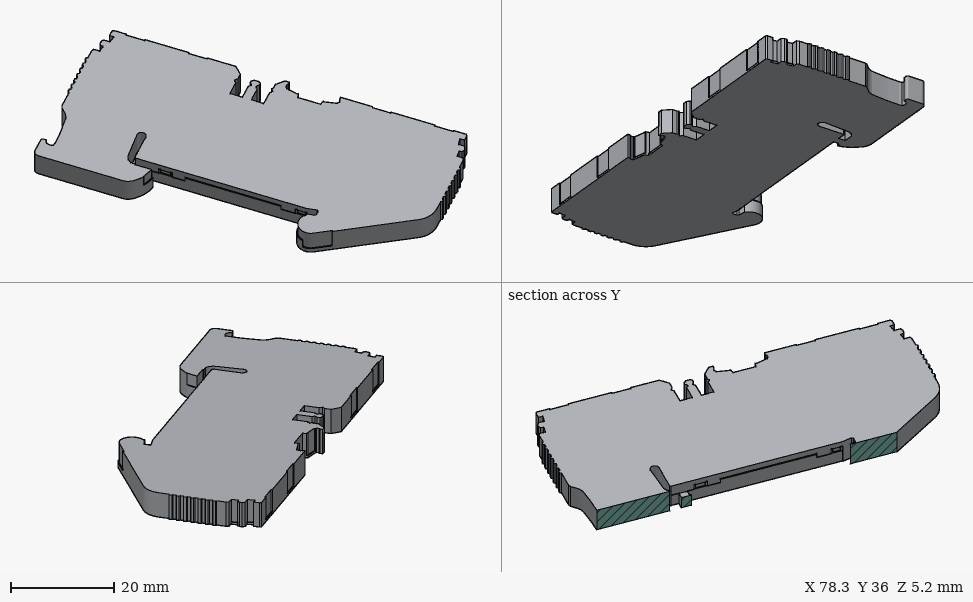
import cadquery as cq
import math

LENGTH = 78.35
HEIGHT = 36.05
THICKNESS = 5.2

LIP = 0.5
SPLIT = 2.75
STEP = 0.2
SEAM_DEPTH = 0.12
NOTCH_LEVEL = 1.0

WALL_X = 0.5
RIB_HEIGHT = 0.3
WALL_RIGHT_X = LENGTH - RIB_HEIGHT
MID_X = (WALL_X + WALL_RIGHT_X) / 2
RIB_COUNT = 7
RIB_PITCH = 1.5
RIB_TOP_Y = 27.1
RIB_ROOT = 0.9
RIB_TIP = 0.55

BASE_Y = 6.4
SLOT_WALL_X = 18.65
FOOT_TIP = (23.1, 5.0)
FOOT_FLANK_MID = (22.4, 2.9)
FOOT_FLANK_END = (21.2, 1.3)
FOOT_ARC_MID = (20.3, 0.5)
FOOT_ARC_END = (19.05, 0.0)
TOE_RADIUS = 1.1
HOOK_X = 56.8
HOOK_Y = 3.0
HOOK_RADIUS = 2.75
HOOK_NECK_X = 56.9
RAMP_ANGLE = 32.3
HOOK_SIDE_ANGLE = 200
HOOK_TOP_ANGLE = 130
SHOULDER_RADIUS = 4.7

LATCH_FLOORS = ([(1.7, 30.0), (1.9, 31.4)], [(2.7, 33.0), (2.9, 34.5)])

SHOULDER_X = 2.4
BRIDGE_FLOOR_Y = 29.0
NICK_Y = 32.6
NICK_HALF = 0.55
NICK_DEPTH = 0.5
MARKER_X = 44.5
MARKER_FLOOR_Y = 33.15
MARKER_FLOOR_HALF = 2.4
MARKER_FLANK = [(39.2, 34.55), (41.9, 33.9)]
TOP_RECESS_WIDTH = 3.85
TOP_RECESS_OFFSETS = (19.2, 32.2)


def mirrored(points, axis):
    """Mirror points about a vertical line and reverse their order."""
    return [(2 * axis - x, y) for x, y in reversed(points)]


def hook_point(radius, degrees):
    angle = math.radians(degrees)
    return (HOOK_X + radius * math.cos(angle), HOOK_Y + radius * math.sin(angle))


def ramp_y(x, setback=0.0):
    """Height of the ramp, tangent to the hook, optionally set back inward."""
    slope = math.radians(RAMP_ANGLE)
    return HOOK_Y + (x - HOOK_X) * math.tan(slope) - (HOOK_RADIUS - setback) / math.cos(slope)


def wall_ribs():
    """Points of the left wall with its ribs, from bottom to top."""
    points = []
    for i in reversed(range(RIB_COUNT)):
        y = RIB_TOP_Y - i * RIB_PITCH
        points += [
            (WALL_X, y - RIB_ROOT / 2),
            (WALL_X - RIB_HEIGHT, y - RIB_TIP / 2),
            (WALL_X - RIB_HEIGHT, y + RIB_TIP / 2),
            (WALL_X, y + RIB_ROOT / 2),
        ]
    return points


def corner_notches():
    """Two latch notches at the upper left corner, from the wall to the top edge."""
    lower, upper = LATCH_FLOORS
    tooth = [(1.5, 31.5), (1.25, 31.9), (1.25, 32.45), (1.6, 33.0)]
    shoulder = [(2.2, 34.5), (2.2, 35.7), (SHOULDER_X, HEIGHT)]
    return [(WALL_X, 29.5), (0.7, 30.0), *lower, *tooth, *upper, *shoulder]


def nick(x, side):
    """Small triangular detent nick in a vertical slot wall, from bottom to top."""
    return [
        (x, NICK_Y - NICK_HALF),
        (x + side * NICK_DEPTH, NICK_Y),
        (x, NICK_Y + NICK_HALF),
    ]


def bridge_slots():
    """Two deep slots with a detent tongue between them, from left to right."""
    left, tongue_left, tongue_right, right = 29.55, 32.1, 34.0, 36.6
    points = [(28.0, HEIGHT), (left, 34.5)]
    points += nick(left, -1)[::-1]
    points += [(left, BRIDGE_FLOOR_Y), (tongue_left, BRIDGE_FLOOR_Y)]
    points += nick(tongue_left, 1)
    points += [(tongue_left, 33.5), (32.7, 34.0), (33.6, 34.0), (tongue_right, 33.7)]
    points += nick(tongue_right, -1)[::-1]
    points += [(tongue_right, BRIDGE_FLOOR_Y), (right, BRIDGE_FLOOR_Y)]
    points += nick(right, 1)
    return points + [(36.8, 33.4), (36.8, 34.5), (38.25, HEIGHT)]


def marker_seat():
    """Undercut seat for a marker, symmetric about MARKER_X."""
    left_half = [
        (39.2, HEIGHT), (39.2, 35.5), (38.95, 35.2), (38.95, 34.7), *MARKER_FLANK,
        (MARKER_X - MARKER_FLOOR_HALF, MARKER_FLOOR_Y),
    ]
    return left_half + mirrored(left_half, MARKER_X)


def housing():
    """Full-thickness housing with the spring foot on the left and the hook on the right."""
    left_side = wall_ribs() + corner_notches()
    ramp_corner_y = ramp_y(WALL_RIGHT_X)
    slope = math.radians(RAMP_ANGLE)
    tangent = SHOULDER_RADIUS * math.tan((math.pi / 2 - slope) / 2)
    shoulder_end = (
        WALL_RIGHT_X - tangent * math.cos(slope),
        ramp_corner_y - tangent * math.sin(slope),
    )

    path = cq.Workplane("XY").moveTo(TOE_RADIUS, 0)
    path = path.radiusArc((0, TOE_RADIUS), TOE_RADIUS).lineTo(0, 4.1)
    path = path.radiusArc((0.4, 4.5), 0.4).lineTo(1.0, 4.5)
    path = path.threePointArc((1.9, 3.5), (2.8, 3.8)).lineTo(2.9, 4.3).lineTo(2.8, 7.1)
    path = path.threePointArc((2.75, 8.0), (2.7, 8.8)).lineTo(2.4, 11.0)
    path = path.threePointArc((2.2, 11.7), (1.8, 12.3)).lineTo(0.7, 13.4).lineTo(WALL_X, 13.95)
    for point in left_side + bridge_slots() + marker_seat() + mirrored(left_side, MID_X):
        path = path.lineTo(*point)
    path = path.lineTo(WALL_RIGHT_X, ramp_corner_y + tangent)
    path = path.tangentArcPoint(shoulder_end, relative=False)
    path = path.lineTo(*hook_point(HOOK_RADIUS, RAMP_ANGLE - 90))
    hook_side = hook_point(HOOK_RADIUS, HOOK_SIDE_ANGLE)
    path = path.threePointArc(hook_side, hook_point(HOOK_RADIUS, HOOK_TOP_ANGLE))
    path = path.lineTo(56.6, 5.3).lineTo(HOOK_NECK_X, 5.6).lineTo(HOOK_NECK_X, 6.65)
    path = path.lineTo(56.6, 6.8).lineTo(54.6, BASE_Y).lineTo(SLOT_WALL_X + STEP, BASE_Y)
    path = path.lineTo(SLOT_WALL_X, BASE_Y + STEP).lineTo(SLOT_WALL_X, 12.4)
    path = path.threePointArc((17.7, 13.2), (16.85, 12.2)).lineTo(17.25, 7.0)
    path = path.threePointArc((17.55, 5.8), (18.4, 5.0)).lineTo(*FOOT_TIP)
    path = path.threePointArc(FOOT_FLANK_MID, FOOT_FLANK_END)
    path = path.threePointArc(FOOT_ARC_MID, FOOT_ARC_END)
    return path.close().extrude(THICKNESS)


def box(x_min, x_max, y_min, y_max, z_min, z_max):
    size = (x_max - x_min, y_max - y_min, z_max - z_min)
    return cq.Workplane("XY").box(*size, centered=False).translate((x_min, y_min, z_min))


def prism(points, z_min, z_max):
    outline = cq.Workplane("XY").workplane(offset=z_min).polyline(points).close()
    return outline.extrude(z_max - z_min)


def top_edge_recesses():
    """Shallow recesses in the top edge and the marker floor, above the bottom lip."""
    cuts = box(
        MARKER_X - MARKER_FLOOR_HALF, MARKER_X + MARKER_FLOOR_HALF,
        MARKER_FLOOR_Y - STEP, MARKER_FLOOR_Y, LIP, THICKNESS,
    )
    flank = MARKER_FLANK + [(x, y - STEP) for x, y in reversed(MARKER_FLANK)]
    for points in (flank, mirrored(flank, MARKER_X)):
        cuts = cuts.union(prism(points, LIP, THICKNESS))
    for offset in TOP_RECESS_OFFSETS:
        for center in (MID_X - offset, MID_X + offset):
            x_min = center - TOP_RECESS_WIDTH / 2
            cuts = cuts.union(
                box(x_min, x_min + TOP_RECESS_WIDTH, HEIGHT - STEP, HEIGHT, LIP, THICKNESS)
            )
    return cuts


def latch_recesses():
    """Deepen the floors of the corner notches above the bottom lip, on both sides."""
    cuts = cq.Workplane("XY")
    for floor in LATCH_FLOORS:
        points = floor + [(x + STEP, y) for x, y in reversed(floor)]
        cuts = cuts.add(prism(points, LIP, THICKNESS))
    cuts = cuts.combine()
    return cuts.union(cuts.mirror("YZ", (MID_X, 0, 0)))


def foot_recess():
    """Upper half of the foot tip stands back from the lower half, on flank and top."""
    tip_x, tip_y = FOOT_TIP
    inner_y = tip_y - STEP
    top_start_x = 19.4
    flank_start = (22.1, 2.5)
    points = [
        (top_start_x, tip_y + STEP), (top_start_x, inner_y), (tip_x - STEP, inner_y),
        flank_start, (tip_x + STEP, flank_start[1]), (tip_x + STEP, tip_y + STEP),
    ]
    return prism(points, SPLIT, THICKNESS)


def hook_recess():
    """Upper part of the hook stands back; the recess is deeper under the ramp."""
    inner = HOOK_RADIUS - STEP
    split_x = 56.1
    end_x = 61.35
    low_y = HOOK_Y - 2 * HOOK_RADIUS
    path = cq.Workplane("XY").workplane(offset=NOTCH_LEVEL)
    path = path.moveTo(*hook_point(inner, HOOK_TOP_ANGLE))
    path = path.threePointArc(hook_point(inner, HOOK_SIDE_ANGLE), hook_point(inner, RAMP_ANGLE - 90))
    path = path.lineTo(end_x, ramp_y(end_x, STEP)).lineTo(end_x, low_y)
    path = path.lineTo(HOOK_X - 2 * HOOK_RADIUS, low_y)
    path = path.lineTo(HOOK_X - 2 * HOOK_RADIUS, hook_point(inner, HOOK_TOP_ANGLE)[1])
    cut = path.close().extrude(THICKNESS - NOTCH_LEVEL)
    kept = box(0, split_x, low_y, HEIGHT, 0, SPLIT)
    return cut.cut(kept)


def base_seam():
    """Lower half set back along the base edge, with a raised middle and two windows."""
    seam_start, seam_end = 18.9, 54.6
    middle_start, middle_end = 29.15, 49.2
    middle_level = 3.45
    gap_level = 3.8
    window_level = 3.9
    window_rim = 0.4
    y_min = BASE_Y - 0.8
    setback_y = BASE_Y + SEAM_DEPTH
    window_y = BASE_Y + 0.15
    core_y = BASE_Y + 0.4
    cuts = box(seam_start, seam_end, BASE_Y - SEAM_DEPTH, setback_y, 0, SPLIT)
    cuts = cuts.union(box(middle_start, middle_end, y_min, setback_y, SPLIT, middle_level))
    cuts = cuts.union(box(middle_start, middle_end, y_min, core_y, middle_level, gap_level))
    for x_min, x_max in ((23.7, 26.5), (52.2, seam_end)):
        cuts = cuts.union(box(x_min, x_max, y_min, window_y, SPLIT, window_level))
        core_min, core_max = x_min + window_rim, x_max - window_rim
        cuts = cuts.union(box(core_min, core_max, y_min, core_y, SPLIT, window_level))
    return cuts


def foot_link():
    """Small block joining the foot to the base edge in the lower half, flared at its root."""
    left, right, flare_x = 20.5, 22.25, 22.65
    root_y = FOOT_TIP[1] - STEP
    top_y = BASE_Y + 2 * SEAM_DEPTH
    points = [
        (left, root_y), (left, top_y), (right, top_y), (right, 5.6), (flare_x, 5.2), (flare_x, root_y),
    ]
    return prism(points, 0, SPLIT)


result = (
    housing()
    .cut(top_edge_recesses())
    .cut(latch_recesses())
    .cut(foot_recess())
    .cut(hook_recess())
    .cut(base_seam())
    .union(foot_link())
)